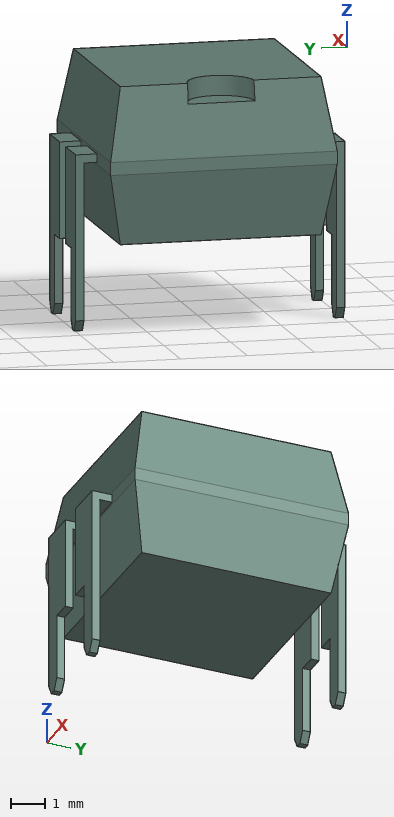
import cadquery as cq

body_length_x = 6.4
body_width_y = 6.78
body_height = 4.685
band_height = 0.39
taper_inset = 0.39
half_height = (body_height - band_height) / 2

notch_radius = 1.0
notch_depth = 0.595
notch_center_x = -2.91

lead_span = 8.05
lead_thickness = 0.25
lead_top_z = band_height / 2 - 0.07
lead_outer_x = 1.56
lead_inner_x = 0.36
pin_width = 0.59
shoulder_drop = 2.865
overall_height = 7.48
tip_height = 0.34
tip_inset = 0.19

body_top_z = body_height / 2
tip_z = body_top_z - overall_height
shoulder_z = lead_top_z - shoulder_drop
pin_inner_x = lead_outer_x - pin_width


def tapered_half(direction):
    """Half of the body, narrowing away from the band (direction +1 up, -1 down)."""
    return (
        cq.Workplane("XY", origin=(0, 0, direction * band_height / 2))
        .rect(body_length_x, body_width_y)
        .workplane(offset=direction * half_height)
        .rect(body_length_x - 2 * taper_inset, body_width_y - 2 * taper_inset)
        .loft(ruled=True)
    )


def make_body():
    band = cq.Workplane("XY").box(body_length_x, body_width_y, band_height)
    notch = (
        cq.Workplane("XY", origin=(notch_center_x, 0, body_top_z - notch_depth))
        .circle(notch_radius)
        .extrude(notch_depth)
    )
    return band.union(tapered_half(1)).union(tapered_half(-1)).cut(notch)


def make_lead():
    """Lead on the +X, -Y side: a stepped, pointed blade with an arm into the body."""
    blade = (
        cq.Workplane("XZ", origin=(0, -lead_span / 2 + lead_thickness, 0))
        .moveTo(lead_inner_x, lead_top_z)
        .lineTo(lead_outer_x, lead_top_z)
        .lineTo(lead_outer_x, tip_z + tip_height)
        .lineTo(lead_outer_x - tip_inset, tip_z)
        .lineTo(pin_inner_x + tip_inset, tip_z)
        .lineTo(pin_inner_x, tip_z + tip_height)
        .lineTo(pin_inner_x, shoulder_z)
        .lineTo(lead_inner_x, shoulder_z)
        .close()
        .extrude(lead_thickness)
    )
    arm_length = (lead_span - body_width_y) / 2 + lead_thickness
    arm = cq.Workplane("XY", origin=(lead_inner_x, -lead_span / 2, lead_top_z - lead_thickness)).box(
        lead_outer_x - lead_inner_x, arm_length, lead_thickness, centered=False
    )
    return blade.union(arm)


result = make_body()
front_right_lead = make_lead()
front_left_lead = front_right_lead.mirror("YZ")
for lead in (front_right_lead, front_left_lead):
    result = result.union(lead).union(lead.mirror("XZ"))